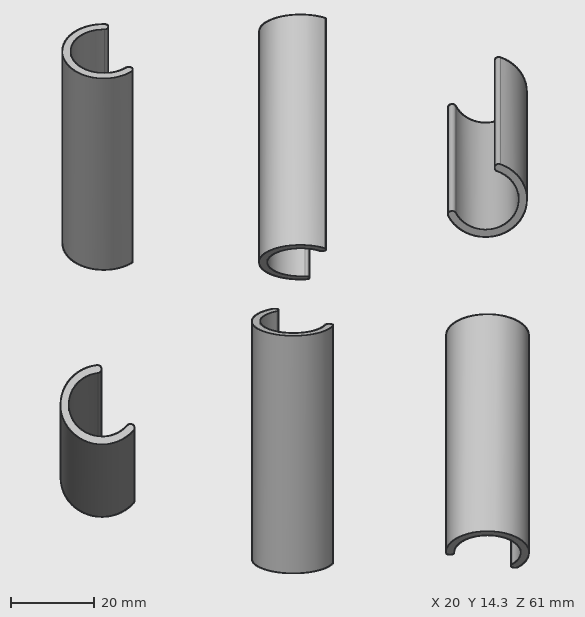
import cadquery as cq
import math

length = 61.0
outer_radius = 10.0
wall = 2.0
lip_top = 4.3

inner_radius = outer_radius - wall
lip_radius = wall / 2
middle_radius = outer_radius - lip_radius
lip_angle = math.asin((lip_top - lip_radius) / middle_radius)


def on_circle(radius, angle):
    """Point at the given angle on a circle about the tube axis."""
    return (radius * math.cos(angle), radius * math.sin(angle))


def lip_tip(side):
    """Furthest point of a rounded lip, side = 1 for +X and -1 for -X."""
    center_x, center_y = on_circle(middle_radius, lip_angle)
    return (
        side * (center_x - lip_radius * math.sin(lip_angle)),
        center_y + lip_radius * math.cos(lip_angle),
    )


left_angle = math.pi - lip_angle

result = (
    cq.Workplane("XY")
    .moveTo(*on_circle(outer_radius, left_angle))
    .threePointArc((0, -outer_radius), on_circle(outer_radius, lip_angle))
    .threePointArc(lip_tip(1), on_circle(inner_radius, lip_angle))
    .threePointArc((0, -inner_radius), on_circle(inner_radius, left_angle))
    .threePointArc(lip_tip(-1), on_circle(outer_radius, left_angle))
    .close()
    .extrude(length)
)